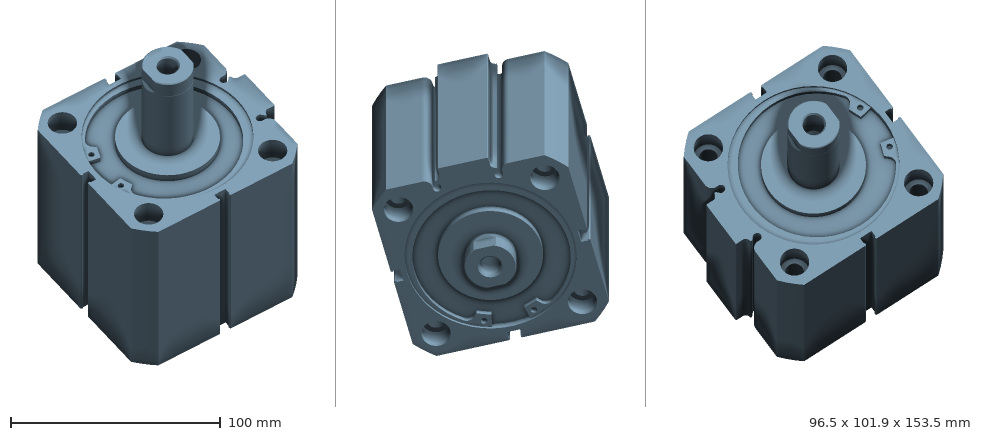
import cadquery as cq
import math


HOUSING_WIDTH = 96.5
HOUSING_HEIGHT = 93.5
TOP_EXTENSION = 50.0
BOTTOM_EXTENSION = 153.5 - HOUSING_HEIGHT - TOP_EXTENSION
HALF_WIDTH = HOUSING_WIDTH / 2
MID_HEIGHT = HOUSING_HEIGHT / 2

CORNER_DIAMETER = 124.0
BORE_DIAMETER = 82.0
BOLT_SPACING = 72.0
BOLT_HOLE_DIAMETER = 8.9
COUNTERBORE_DIAMETER = 14.0
COUNTERBORE_DEPTH = 12.3

GROOVE_WIDTH = 6.6
GROOVE_MOUTH_WIDTH = 5.5
GROOVE_DEPTH = 4.6
GROOVE_LIP = 1.2
GROOVE_MOUTH_CHAMFER = 0.5

RAIL_WIDTH = 24.9
RAIL_HEIGHT = 5.4
RAIL_EDGE_RADIUS = 0.5
SLOT_OFFSET = 15.2
SLOT_RADIUS = 2.0
SLOT_CENTRE_DEPTH = 5.2
SLOT_MOUTH_RADIUS = 4.0
LIP_TOP_DEPTH = 1.2
LIP_TIP_HEIGHT = 0.9
LIP_SLOPE_HEIGHT = 1.8
LIP_FILLET_RISE = 0.6
LIP_FILLET_SAGITTA = 0.5

RING_RECESS = 1.4
RING_THICKNESS = 2.8
RING_INNER_RADIUS = 37.8
RING_ECCENTRICITY = 2.0
EAR_END_INNER = (8.1, -33.2)
EAR_END_OUTER = (10.0, -42.2)
EAR_SHOULDER = (14.7, -30.7)
EAR_ROOT = (22.4, -39.0)
EAR_FILLET = 4.0
CORNER_MARGIN = 1.5
EAR_HOLE_CENTRE = (12.3, -35.6)
EAR_HOLE_DIAMETER = 3.0

COVER_PLATE_THICKNESS = 15.4
BOSS_DIAMETER = 50.0
BOSS_HEIGHT = RING_RECESS + RING_THICKNESS

ROD_DIAMETER = 25.0
HEAD_DIAMETER = 24.9
HEAD_LENGTH = 8.3
HEAD_CHAMFER = 0.5
SHOULDER_LENGTH = 0.3
FLAT_SPACING = 22.3
FLAT_LENGTH = 7.4
THREAD_HOLE_DIAMETER = 10.5
THREAD_MOUTH_DIAMETER = 12.0
THREAD_DEPTH = 20.0
DRILL_POINT_ANGLE = 118


def mirrored_to_bottom(top_shape):
    """Copy of a shape at the top of the housing, mirrored to the bottom."""
    return top_shape.mirror("XY", (0, 0, MID_HEIGHT))


def sensor_groove():
    """Cutter for the groove in the -Y face, along the whole height."""
    wall_x = GROOVE_WIDTH / 2
    mouth_x = GROOVE_MOUTH_WIDTH / 2
    flare_x = mouth_x + GROOVE_MOUTH_CHAMFER
    half_outline = [
        (flare_x, 0),
        (mouth_x, GROOVE_MOUTH_CHAMFER),
        (mouth_x, GROOVE_LIP),
        (wall_x, GROOVE_LIP),
        (wall_x, GROOVE_DEPTH),
    ]
    other_half = [(-x, y) for x, y in reversed(half_outline)]
    return (
        cq.Workplane("XY", origin=(0, -HALF_WIDTH, 0))
        .polyline(half_outline + other_half)
        .close()
        .extrude(HOUSING_HEIGHT)
    )


def relief_slot():
    """Cutter for the space beside the +X flank of the rail, with the slot at its foot."""
    rail_side = RAIL_WIDTH / 2
    rail_top = HALF_WIDTH + RAIL_HEIGHT
    slot_y = HALF_WIDTH - SLOT_CENTRE_DEPTH
    slot_inner = SLOT_OFFSET - SLOT_RADIUS
    slot_outer = SLOT_OFFSET + SLOT_RADIUS
    lip_top = HALF_WIDTH - LIP_TOP_DEPTH
    lip_bottom = lip_top - LIP_TIP_HEIGHT
    mouth_end = slot_outer + SLOT_MOUTH_RADIUS
    return (
        cq.Workplane("XY")
        .moveTo(rail_side, rail_top)
        .lineTo(rail_side, HALF_WIDTH + LIP_FILLET_RISE)
        .sagittaArc((SLOT_OFFSET, lip_top), -LIP_FILLET_SAGITTA)
        .lineTo(SLOT_OFFSET, lip_bottom)
        .lineTo(slot_inner, lip_bottom - LIP_SLOPE_HEIGHT)
        .lineTo(slot_inner, slot_y)
        .threePointArc((SLOT_OFFSET, slot_y - SLOT_RADIUS), (slot_outer, slot_y))
        .lineTo(slot_outer, HALF_WIDTH - SLOT_MOUTH_RADIUS)
        .tangentArcPoint((mouth_end, HALF_WIDTH), relative=False)
        .lineTo(mouth_end, rail_top)
        .close()
        .extrude(HOUSING_HEIGHT)
    )


def bolt_holes():
    """Cutter for the four corner holes, counterbored at both ends."""
    holes = (
        cq.Workplane("XY")
        .rect(BOLT_SPACING, BOLT_SPACING, forConstruction=True)
        .vertices()
        .circle(BOLT_HOLE_DIAMETER / 2)
        .extrude(HOUSING_HEIGHT)
    )
    counterbores = (
        cq.Workplane("XY", origin=(0, 0, HOUSING_HEIGHT - COUNTERBORE_DEPTH))
        .rect(BOLT_SPACING, BOLT_SPACING, forConstruction=True)
        .vertices()
        .circle(COUNTERBORE_DIAMETER / 2)
        .extrude(COUNTERBORE_DEPTH)
    )
    return holes.union(counterbores).union(mirrored_to_bottom(counterbores))


def make_housing():
    """Square profile with turned corners, rail, grooves, bolt holes and a through bore."""
    corner_round = cq.Workplane("XY").circle(CORNER_DIAMETER / 2).extrude(HOUSING_HEIGHT)
    body = cq.Workplane("XY").rect(HOUSING_WIDTH, HOUSING_WIDTH).extrude(HOUSING_HEIGHT)
    body = body.intersect(corner_round)

    rail = (
        cq.Workplane("XY")
        .center(0, HALF_WIDTH)
        .rect(2 * SLOT_OFFSET, 2 * RAIL_HEIGHT)
        .extrude(HOUSING_HEIGHT)
    )
    slot = relief_slot()
    body = body.union(rail).cut(slot).cut(slot.mirror("YZ"))
    body = body.faces(">Y").edges("|Z").fillet(RAIL_EDGE_RADIUS)

    for angle in (-90, 0, 90):
        body = body.cut(sensor_groove().rotate((0, 0, 0), (0, 0, 1), angle))

    bore = cq.Workplane("XY").circle(BORE_DIAMETER / 2).extrude(HOUSING_HEIGHT)
    return body.cut(bolt_holes()).cut(bore)


def make_top_cover():
    """Round plate under the retaining ring, with a boss flush with the housing end."""
    plate_top = HOUSING_HEIGHT - BOSS_HEIGHT
    return (
        cq.Workplane("XY", origin=(0, 0, plate_top))
        .circle(BORE_DIAMETER / 2)
        .extrude(-COVER_PLATE_THICKNESS)
        .faces(">Z")
        .workplane()
        .circle(BOSS_DIAMETER / 2)
        .extrude(BOSS_HEIGHT)
        .faces(">Z")
        .workplane()
        .hole(ROD_DIAMETER)
    )


def ring_ear(base):
    """Lug at the +X side of the ring gap; it overlaps the ring and reaches past the bore."""
    points = [EAR_END_INNER, EAR_SHOULDER, EAR_ROOT, EAR_END_OUTER]
    return base.polyline(points).close().extrude(RING_THICKNESS)


def make_top_ring():
    """Internal retaining ring with two drilled ears beside its gap."""
    base = cq.Workplane("XY", origin=(0, 0, HOUSING_HEIGHT - RING_RECESS - RING_THICKNESS))
    disc = base.circle(BORE_DIAMETER / 2).extrude(RING_THICKNESS)
    inside = base.center(0, -RING_ECCENTRICITY).circle(RING_INNER_RADIUS).extrude(RING_THICKNESS)
    gap_corners = [
        EAR_END_INNER,
        EAR_END_OUTER,
        (-EAR_END_OUTER[0], EAR_END_OUTER[1]),
        (-EAR_END_INNER[0], EAR_END_INNER[1]),
    ]
    gap = base.polyline(gap_corners).close().extrude(RING_THICKNESS)
    ear = ring_ear(base).intersect(disc)
    ring = disc.cut(inside).cut(gap).union(ear).union(ear.mirror("YZ"))

    shoulder_x, shoulder_y = EAR_SHOULDER
    root_x, root_y = EAR_ROOT
    for side in (-1, 1):
        corner = cq.selectors.BoxSelector(
            (side * (shoulder_x + CORNER_MARGIN), shoulder_y - CORNER_MARGIN, 0),
            (side * root_x, root_y, HOUSING_HEIGHT),
        )
        ring = ring.edges("|Z").edges(corner).fillet(EAR_FILLET)

    hole_x, hole_y = EAR_HOLE_CENTRE
    holes = (
        base.pushPoints([(-hole_x, hole_y), (hole_x, hole_y)])
        .circle(EAR_HOLE_DIAMETER / 2)
        .extrude(RING_THICKNESS)
    )
    return ring.cut(holes)


def rod_end_cutter():
    """Cutter for an upward rod end at z = 0: threaded hole and both wrench flats."""
    hole_radius = THREAD_HOLE_DIAMETER / 2
    mouth_radius = THREAD_MOUTH_DIAMETER / 2
    point_depth = hole_radius / math.tan(math.radians(DRILL_POINT_ANGLE / 2))
    hole = (
        cq.Workplane("XZ")
        .polyline(
            [
                (0, 0),
                (mouth_radius, 0),
                (hole_radius, hole_radius - mouth_radius),
                (hole_radius, -THREAD_DEPTH),
                (0, -THREAD_DEPTH - point_depth),
            ]
        )
        .close()
        .revolve(360, (0, 0, 0), (0, 1, 0))
    )

    flat_y = FLAT_SPACING / 2
    runout = ROD_DIAMETER / 2 - flat_y
    flat = (
        cq.Workplane("YZ")
        .polyline(
            [
                (flat_y, 0),
                (flat_y, -FLAT_LENGTH),
                (flat_y + runout, -FLAT_LENGTH - runout),
                (flat_y + runout, 0),
            ]
        )
        .close()
        .extrude(ROD_DIAMETER / 2, both=True)
    )
    return hole.union(flat).union(flat.mirror("XZ"))


def make_rod():
    """Through rod with a slightly reduced head at each end."""
    rod_top = HOUSING_HEIGHT + TOP_EXTENSION
    rod_bottom = -BOTTOM_EXTENSION
    rod_radius = ROD_DIAMETER / 2
    head_radius = HEAD_DIAMETER / 2
    head_top = rod_top - HEAD_LENGTH
    head_bottom = rod_bottom + HEAD_LENGTH
    rod = (
        cq.Workplane("XZ")
        .polyline(
            [
                (0, rod_bottom),
                (head_radius - HEAD_CHAMFER, rod_bottom),
                (head_radius, rod_bottom + HEAD_CHAMFER),
                (head_radius, head_bottom),
                (rod_radius, head_bottom + SHOULDER_LENGTH),
                (rod_radius, head_top - SHOULDER_LENGTH),
                (head_radius, head_top),
                (head_radius, rod_top - HEAD_CHAMFER),
                (head_radius - HEAD_CHAMFER, rod_top),
                (0, rod_top),
            ]
        )
        .close()
        .revolve(360, (0, 0, 0), (0, 1, 0))
    )
    cutter = rod_end_cutter()
    rod = rod.cut(cutter.translate((0, 0, rod_top)))
    return rod.cut(cutter.mirror("XY").translate((0, 0, rod_bottom)))


housing = make_housing()
rod = make_rod()
top_cover = make_top_cover()
top_ring = make_top_ring()

bodies = []
for part in (housing, rod):
    bodies.append(part.solids().val())
for end_part in (top_cover, top_ring):
    bodies.append(end_part.solids().val())
    bodies.append(mirrored_to_bottom(end_part).solids().val())

result = cq.Compound.makeCompound(bodies)